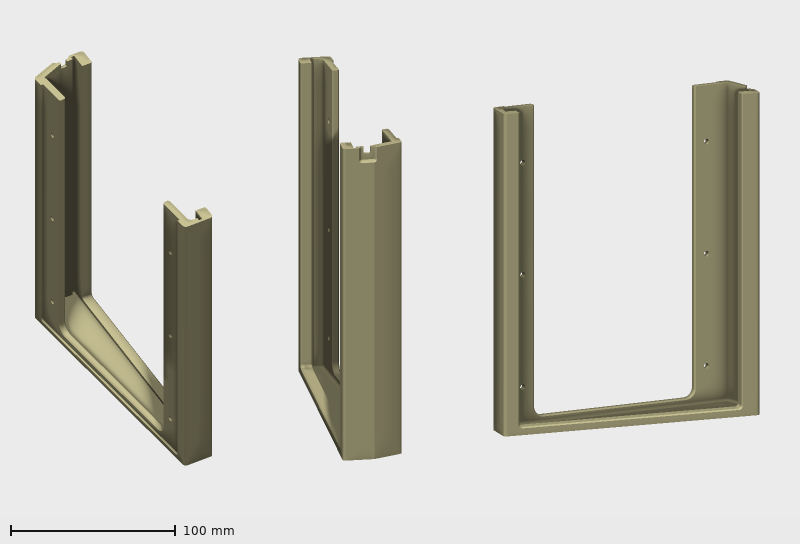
import cadquery as cq
import math

height = 201
depth = 38.0
overrun = 2
lean_angle = 6.4
front_left_x = 5.0
front_right_x = 164.8
crease_y = 18.9
corner_radius = 2

floor_thickness = 2.8
front_thickness = 5.8
back_thickness = 6.8
side_thickness = 3.8
lower_left_thickness = 4.5
floor_fillet = 1.8
front_right_inner_diameter = 6.2

rim_chamfer = 0.8

opening_half_width = 54.5
opening_bottom = 7.0
opening_radius = 6
recess_half_width = 72.4
recess_bottom = 3.0
recess_depth = 1.5
recess_radius = 2
hole_diameter = 3.5
hole_half_spacing = 62.5
lowest_hole_z = 26.0
hole_pitch = 70.0
hole_rows = 3

left_flange_width = 11.9
right_flange_width = 10
window_bottom = 5.0
window_radius = 2
groove_width = 2.2
groove_depth = 2.2

pocket_back_y = 28.5
pocket_front_y = 17.0
pocket_height = 9.6
pocket_depth = 1.6
pocket_bevel = 1.6
pocket_radius = 2
slot_back = 13.0
slot_front = 17.3
slot_height = 4.2

lean = math.radians(lean_angle)
lower_left_slope = front_left_x / crease_y
front_middle_x = (front_left_x + front_right_x) / 2
rounding_loss = corner_radius * (math.cos(lean) + math.sin(lean) - 1)
upper_left_length = (depth + rounding_loss - crease_y) / math.cos(lean)
back_left_x = upper_left_length * math.sin(lean)
back_left_y = crease_y + upper_left_length * math.cos(lean)
back_width = (front_right_x - back_left_x) * math.cos(lean) + back_left_y * math.sin(lean)


def back_point(along, inset):
    """Point at a distance along the back from its left corner, and an inset in front of it."""
    x = back_left_x + along * math.cos(lean) - inset * math.sin(lean)
    y = back_left_y - along * math.sin(lean) - inset * math.cos(lean)
    return (x, y)


def back_box(along_start, along_end, inset_start, inset_end, bottom):
    """Upright block square to the back, from a given bottom through the top of the part."""
    corners = [
        back_point(along_start, inset_start),
        back_point(along_end, inset_start),
        back_point(along_end, inset_end),
        back_point(along_start, inset_end),
    ]
    block = cq.Workplane("XY").workplane(offset=bottom).polyline(corners).close()
    return block.extrude(height + overrun - bottom)


def front_box(half_width, bottom, start, end, radius):
    """Block centred on the front face, between two depths, with rounded lower corners."""
    size = (2 * half_width, end - start, height + overrun - bottom)
    block = cq.Workplane("XY").box(*size, centered=(True, False, False))
    return block.edges("|Y and <Z").fillet(radius).translate((front_middle_x, start, bottom))


def make_body():
    outline = [
        (front_left_x, 0),
        (front_right_x, 0),
        back_point(back_width, 0),
        back_point(0, 0),
        (0, crease_y),
    ]
    return cq.Workplane("XY").polyline(outline).close().extrude(height).edges("|Z").fillet(corner_radius)


def make_cavity():
    lower_offset = lower_left_thickness * math.hypot(1, lower_left_slope)
    upper_offset = side_thickness / math.cos(lean)
    rise = (lower_offset - upper_offset) / (lower_left_slope + math.tan(lean))
    inner_crease = (upper_offset + rise * math.tan(lean), crease_y + rise)
    inner_left_x = front_left_x + lower_offset - front_thickness * lower_left_slope
    inner_right_x = front_right_x - upper_offset + front_thickness * math.tan(lean)
    outline = [
        (inner_left_x, front_thickness),
        (inner_right_x, front_thickness),
        back_point(back_width - side_thickness, back_thickness),
        back_point(side_thickness, back_thickness),
        inner_crease,
    ]
    prism = cq.Workplane("XY").workplane(offset=floor_thickness).polyline(outline).close()
    prism = prism.extrude(height + overrun - floor_thickness)
    floor_edges = [
        (front_middle_x, front_thickness, floor_thickness),
        ((inner_left_x + inner_crease[0]) / 2, (front_thickness + inner_crease[1]) / 2, floor_thickness),
    ]
    front_edge, left_edge = [cq.selectors.NearestToPointSelector(point) for point in floor_edges]
    front_right = cq.selectors.NearestToPointSelector((inner_right_x, front_thickness, height / 2))
    rounded_floor = prism.edges(front_edge + left_edge).fillet(floor_fillet)
    rounded_corner = prism.edges(front_right).fillet(front_right_inner_diameter / 2)
    return rounded_floor.intersect(rounded_corner)


def make_groove():
    return back_box(
        side_thickness - groove_depth,
        back_width - side_thickness + groove_depth,
        back_thickness,
        back_thickness + groove_width,
        floor_thickness,
    )


def make_window():
    """Window through the back wall, chamfered around its outer rim."""
    across_back = cq.Vector(math.sin(lean), math.cos(lean), 0)
    through_edges = cq.selectors.ParallelDirSelector(across_back)
    inner_face = cq.selectors.DirectionMinMaxSelector(across_back, directionMax=False)

    def block(margin, inset_start, inset_end):
        left = left_flange_width - margin
        right = back_width - right_flange_width + margin
        body = back_box(left, right, inset_start, inset_end, window_bottom - margin)
        return body.edges("<Z").edges(through_edges).fillet(window_radius + margin)

    flare = block(rim_chamfer, -overrun, rim_chamfer).faces(inner_face).chamfer(rim_chamfer)
    return block(0, -overrun, back_thickness + overrun).union(flare)


def make_opening():
    """Opening through the front wall, chamfered around both rims."""

    def block(margin, start, end):
        half_width = opening_half_width + margin
        return front_box(half_width, opening_bottom - margin, start, end, opening_radius + margin)

    front_flare = block(rim_chamfer, 0, recess_depth + rim_chamfer)
    back_flare = block(rim_chamfer, front_thickness - rim_chamfer, front_thickness + overrun)
    opening = block(0, 0, front_thickness)
    opening = opening.union(front_flare.faces(">Y").chamfer(rim_chamfer))
    return opening.union(back_flare.faces("<Y").chamfer(rim_chamfer))


def make_pocket():
    """Bevelled pocket across the bend of the left wall, with rounded lower corners."""
    back_x = (pocket_back_y - crease_y) * math.tan(lean)
    front_x = (crease_y - pocket_front_y) * lower_left_slope
    width = math.hypot(back_x - front_x, pocket_back_y - pocket_front_y)
    mouth = cq.Plane(
        origin=((back_x + front_x) / 2, (pocket_back_y + pocket_front_y) / 2, height),
        xDir=(front_x - back_x, pocket_front_y - pocket_back_y, 0),
        normal=(pocket_back_y - pocket_front_y, front_x - back_x, 0),
    )
    outline = cq.Sketch().rect(width, 2 * pocket_height).vertices().fillet(pocket_radius)
    bevel_angle = math.degrees(math.atan2(pocket_bevel, pocket_depth))
    inside = cq.Workplane(mouth).placeSketch(outline).extrude(pocket_depth, taper=bevel_angle)
    outside = cq.Workplane(mouth).placeSketch(outline).extrude(-overrun)
    return inside.union(outside)


def make_slot():
    return back_box(-overrun, side_thickness + overrun, slot_back, slot_front, height - slot_height)


def make_holes():
    centres = [
        (front_middle_x + side * hole_half_spacing, lowest_hole_z + row * hole_pitch)
        for side in (-1, 1)
        for row in range(hole_rows)
    ]
    holes = cq.Workplane("XZ").pushPoints(centres).circle(hole_diameter / 2)
    return holes.extrude(-front_thickness)


def make_recess():
    return front_box(recess_half_width, recess_bottom, 0, recess_depth, recess_radius)


cutters = [
    make_cavity(),
    make_groove(),
    make_window(),
    make_recess(),
    make_opening(),
    make_holes(),
    make_pocket(),
    make_slot(),
]
result = make_body()
for cutter in cutters:
    result = result.cut(cutter)